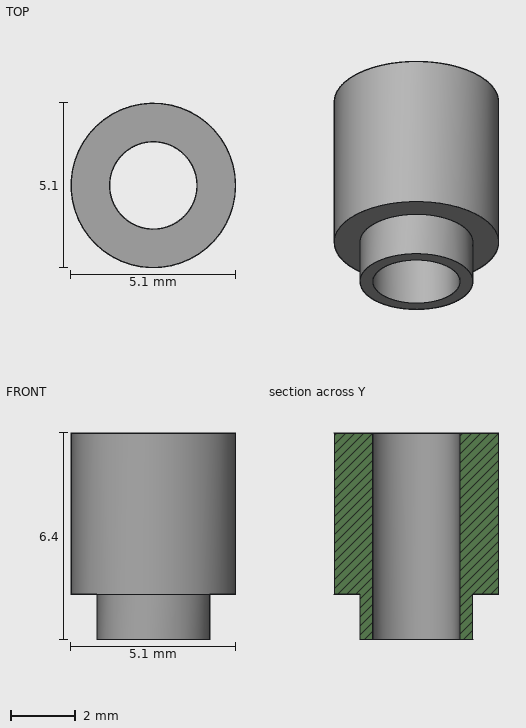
import cadquery as cq

total_height = 6.4
body_diameter = 5.1
spigot_diameter = 3.5
bore_diameter = 2.7
spigot_height = 1.4
body_height = total_height - spigot_height

spigot = cq.Workplane("XY").circle(spigot_diameter / 2).extrude(spigot_height)

body = (
    cq.Workplane("XY")
    .workplane(offset=spigot_height)
    .circle(body_diameter / 2)
    .extrude(body_height)
)

bore = cq.Workplane("XY").circle(bore_diameter / 2).extrude(total_height)

result = spigot.union(body).cut(bore)